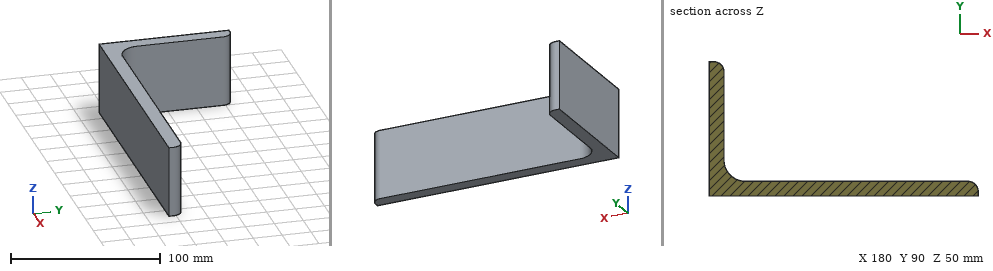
import cadquery as cq

long_leg = 180.0
short_leg = 90.0
thickness = 10.0
length = 50.0
root_radius = 14.0
toe_radius = 7.0


def sharp_angle():
    """L-shaped bar with its outer corner on the Z axis and all edges sharp."""
    profile = [
        (0, 0),
        (long_leg, 0),
        (long_leg, thickness),
        (thickness, thickness),
        (thickness, short_leg),
        (0, short_leg),
    ]
    return cq.Workplane("XY").polyline(profile).close().extrude(length)


def round_vertical_edge(body, x, y, radius):
    """Fillet the vertical edge nearest to the point (x, y)."""
    edge_selector = cq.selectors.NearestToPointSelector((x, y, length / 2))
    return body.edges("|Z").edges(edge_selector).fillet(radius)


result = sharp_angle()
result = round_vertical_edge(result, thickness, thickness, root_radius)
result = round_vertical_edge(result, long_leg, thickness, toe_radius)
result = round_vertical_edge(result, thickness, short_leg, toe_radius)